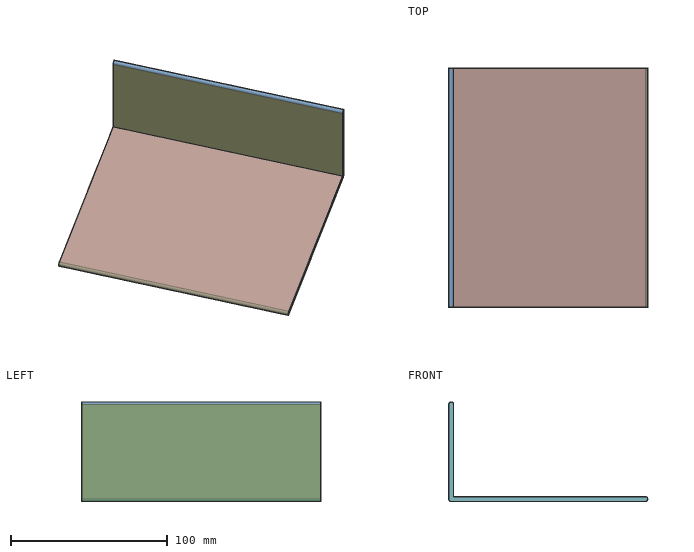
import cadquery as cq

width = 127.0
length = 152.4
height = 63.5
thickness = 3.2
end_radius = thickness / 2
corner_radius = end_radius

corner_mid = corner_radius * (1 - 0.5 ** 0.5)

profile = (
    cq.Workplane("XZ")
    .moveTo(corner_radius, 0)
    .lineTo(width - end_radius, 0)
    .threePointArc((width, end_radius), (width - end_radius, thickness))
    .lineTo(thickness, thickness)
    .lineTo(thickness, height - end_radius)
    .threePointArc((end_radius, height), (0, height - end_radius))
    .lineTo(0, corner_radius)
    .threePointArc((corner_mid, corner_mid), (corner_radius, 0))
    .close()
)

result = profile.extrude(length / 2, both=True)